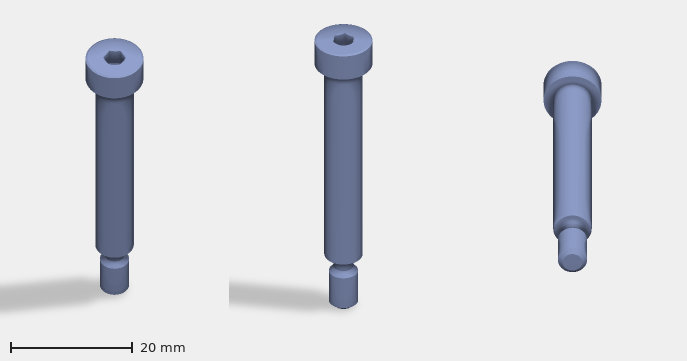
import cadquery as cq
import math

total_length = 52.4
head_diameter = 9.55
head_height = 4.75
head_chamfer_width = 0.3
head_chamfer_angle = 30.0

shoulder_diameter = 6.35
shoulder_chamfer = 0.3

thread_diameter = 4.8
thread_length = 9.55
neck_diameter = 3.25
neck_fillet = 0.7
tip_chamfer_height = 0.7
thread_body_top = 6.6
neck_bottom = 7.55

socket_flats = 3.2
socket_depth = 2.85
socket_lead_angle = 30.0

head_radius = head_diameter / 2
shoulder_radius = shoulder_diameter / 2
thread_radius = thread_diameter / 2
neck_radius = neck_diameter / 2
head_bottom = total_length - head_height
head_chamfer_drop = head_chamfer_width * math.tan(math.radians(head_chamfer_angle))


def make_body():
    """Revolve the half profile of the thread, neck, shoulder and head."""
    fillet_start = thread_length - neck_fillet
    fillet_center_radius = neck_radius + neck_fillet
    fillet_reach = neck_fillet * math.sqrt(0.5)
    fillet_middle = (fillet_center_radius - fillet_reach, fillet_start + fillet_reach)
    profile = (
        cq.Workplane("XZ")
        .lineTo(neck_radius, 0)
        .lineTo(thread_radius, tip_chamfer_height)
        .lineTo(thread_radius, thread_body_top)
        .lineTo(neck_radius, neck_bottom)
        .lineTo(neck_radius, fillet_start)
        .threePointArc(fillet_middle, (fillet_center_radius, thread_length))
        .lineTo(shoulder_radius - shoulder_chamfer, thread_length)
        .lineTo(shoulder_radius, thread_length + shoulder_chamfer)
        .lineTo(shoulder_radius, head_bottom)
        .lineTo(head_radius, head_bottom)
        .lineTo(head_radius, total_length - head_chamfer_drop)
        .lineTo(head_radius - head_chamfer_width, total_length)
        .lineTo(0, total_length)
        .close()
    )
    return profile.revolve(360, (0, 0, 0), (0, 1, 0))


def make_socket():
    """Hexagonal socket with two corners on the Y axis and a conical lead-in."""
    corner_diameter = socket_flats / math.cos(math.radians(30))
    corner_radius = corner_diameter / 2
    hexagon = (
        cq.Workplane("XY", origin=(0, 0, total_length))
        .transformed(rotate=(0, 0, 90))
        .polygon(6, corner_diameter)
        .extrude(-socket_depth)
    )
    lead_depth = corner_radius * math.tan(math.radians(socket_lead_angle))
    lead_in = (
        cq.Workplane("XZ")
        .moveTo(0, total_length)
        .lineTo(corner_radius, total_length)
        .lineTo(0, total_length - lead_depth)
        .close()
        .revolve(360, (0, 0, 0), (0, 1, 0))
    )
    return hexagon.union(lead_in)


result = make_body().cut(make_socket())